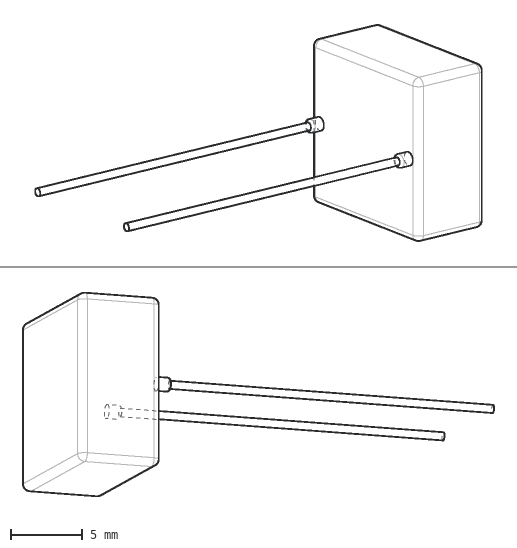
import cadquery as cq

overall_length = 31.0
body_side = 12.0
body_depth = 6.0
body_rounding = 0.53
lead_pitch = 10.0
lead_diameter = 0.6
collar_diameter = 1.0
collar_length = 1.0
collar_rounding = 0.198

lead_length = overall_length - body_depth


def make_body():
    """Box with its front face on Y = 0 and every edge rounded."""
    box = cq.Workplane("XY").box(body_side, body_depth, body_side)
    return box.edges().fillet(body_rounding).translate((0, body_depth / 2, 0))


def make_lead(x):
    """Round wire with a collar where it leaves the body."""
    face = cq.Workplane("XZ").center(x, 0)
    wire = face.circle(lead_diameter / 2).extrude(lead_length)
    collar = face.circle(collar_diameter / 2).extrude(collar_length)
    collar = collar.faces("<Y").edges().fillet(collar_rounding)
    return collar.union(wire)


result = make_body()
for side in (-1, 1):
    result = result.union(make_lead(side * lead_pitch / 2))